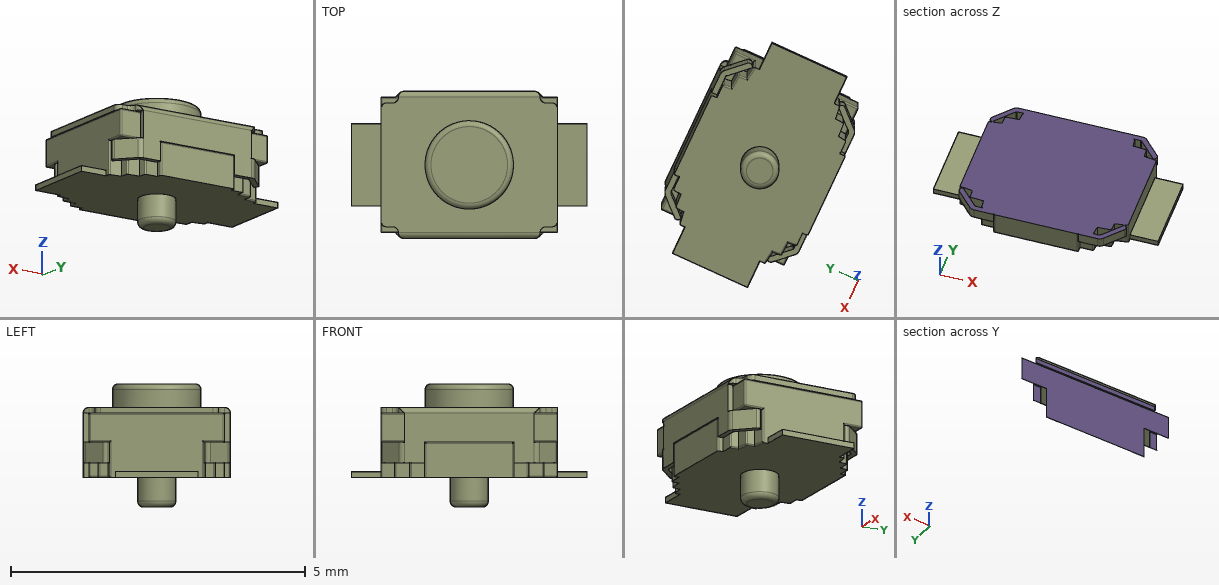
import cadquery as cq
import math

body_length = 3.0
body_width = 2.3
body_height = 1.09
edge_radius = 0.025
half_length = body_length / 2
half_width = body_width / 2

relief_height = 0.6
relief_wall_y = 0.797
relief_inner_y = 0.83
first_step_inner_x = 1.27
first_step_outer_x = 1.26
second_step_outer_y = 0.985
second_step_inner_y = 1.0
second_step_inner_x = 1.016
second_step_outer_x = 1.0

sheet = 0.1
cover_top = body_height + sheet
cover_half_width = half_width + sheet
skirt_bottom = 0.25
skirt_half_length = 1.1
corner_radius = 0.1

arm_angle = 47.0
arm_bend_radius = 0.125
arm_straight = 0.41
arm_tip_radius = 0.06

pad_half_length = 0.755
pad_height = 0.6

tab_span = 4.0
tab_width = 1.4
button_diameter = 1.5
button_top = 1.59
pin_diameter = 0.65
pin_length = 0.5
round_radius = 0.1

position_tolerance = 0.01


def in_all_corners(corner):
    """Repeat a feature of the -X, -Y corner in all four corners."""
    front = corner.union(corner.mirror("YZ"))
    return front.union(front.mirror("XZ"))


def make_relief():
    """Stepped volume removed from the -X, -Y corner."""
    outline = [
        (-half_length, -relief_wall_y),
        (-first_step_inner_x, -relief_inner_y),
        (-first_step_outer_x, -second_step_outer_y),
        (-second_step_inner_x, -second_step_inner_y),
        (-second_step_outer_x, -half_width),
        (-half_length, -half_width),
    ]
    return cq.Workplane("XY").polyline(outline).close().extrude(relief_height)


def near(value, target):
    """True when a coordinate lies at a distance from the centre, on either side."""
    return abs(abs(value) - target) < position_tolerance


def is_relief_corner(edge):
    """Outward upright edges of a relief."""
    center = edge.Center()
    corners = [
        (half_length, relief_wall_y),
        (first_step_outer_x, second_step_outer_y),
        (second_step_outer_x, half_width),
    ]
    at_corner = any(near(center.x, x) and near(center.y, y) for x, y in corners)
    return at_corner and near(center.z, relief_height / 2)


def is_relief_ceiling(edge):
    """Outer edges where a relief ceiling meets the side faces."""
    center = edge.Center()
    on_side = near(center.x, half_length) or near(center.y, half_width)
    return on_side and near(center.z, relief_height)


def is_rounded_base(edge):
    """Bottom edges of the reliefs in the two diagonal corners where X and Y differ in sign."""
    center = edge.Center()
    between_walls_x = second_step_outer_x - edge_radius < abs(center.x) < half_length - edge_radius
    between_walls_y = relief_wall_y < abs(center.y) < half_width - edge_radius
    return center.x * center.y < 0 and between_walls_x and between_walls_y and near(center.z, 0)


def is_rounded_relief_edge(edge):
    return is_relief_corner(edge) or is_relief_ceiling(edge) or is_rounded_base(edge)


def make_body():
    body = cq.Workplane("XY").box(body_length, body_width, body_height, centered=(True, True, False))
    body = body.edges("|Z or >Z").fillet(edge_radius)
    body = body.cut(in_all_corners(make_relief()))
    return body.edges().filter(is_rounded_relief_edge).fillet(edge_radius)


def make_cover_plate():
    """Flat top of the cover, with a rounded notch in each corner."""
    plate = (
        cq.Workplane("XY", origin=(0, 0, body_height))
        .rect(body_length, body_width)
        .extrude(sheet)
    )
    notch_y = half_width - corner_radius
    notch_x = half_length - 3 * corner_radius
    diagonal = corner_radius * math.sqrt(0.5)
    convex_x = -half_length + corner_radius
    convex_y = -notch_y + corner_radius
    concave_x = -notch_x - corner_radius
    notch = (
        cq.Workplane("XY", origin=(0, 0, body_height))
        .moveTo(-half_length, convex_y)
        .threePointArc((convex_x - diagonal, convex_y - diagonal), (convex_x, -notch_y))
        .lineTo(concave_x, -notch_y)
        .threePointArc((concave_x + diagonal, -half_width + diagonal), (-notch_x, -half_width))
        .lineTo(-half_length, -half_width)
        .close()
        .extrude(sheet)
    )
    return plate.cut(in_all_corners(notch))


def make_skirts():
    """Folded sides of the cover, wider along the fold, with windows for the pads."""
    fold_length = 2 * (skirt_half_length + sheet)
    outer_width = 2 * cover_half_width
    fold = (
        cq.Workplane("XY", origin=(0, 0, body_height))
        .rect(fold_length, outer_width)
        .extrude(sheet)
        .edges("|Z")
        .fillet(corner_radius)
    )
    skirts = (
        cq.Workplane("XY", origin=(0, 0, skirt_bottom))
        .rect(2 * skirt_half_length, outer_width)
        .extrude(cover_top - skirt_bottom)
    )
    rounded_profile = (
        cq.Workplane("XY")
        .box(body_length, outer_width, 2 * cover_top)
        .edges("|X")
        .fillet(sheet)
    )
    windows = cq.Workplane("XY").box(2 * pad_half_length, outer_width, 2 * pad_height)
    inside = cq.Workplane("XY").box(body_length, body_width, 2 * body_height)
    return fold.union(skirts).intersect(rounded_profile).cut(windows).cut(inside)


def make_arm():
    """Bent arm in the -X, -Y corner, ending in a rounded tip at the relief wall."""
    angle = math.radians(arm_angle)

    def along(point, direction, distance):
        return (
            point[0] + distance * math.cos(direction),
            point[1] + distance * math.sin(direction),
        )

    heading = math.pi - angle
    inward = heading - math.pi / 2
    bend_center = (-skirt_half_length, -cover_half_width + arm_bend_radius)
    bend_middle = along(bend_center, -math.pi / 2 - angle / 2, arm_bend_radius)
    bend_end = along(bend_center, -math.pi / 2 - angle, arm_bend_radius)
    tip_start = along(bend_end, heading, arm_straight)
    tip_center = along(tip_start, inward, arm_tip_radius)
    tip_middle = along(tip_center, heading + math.pi / 4, arm_tip_radius)
    tip_end = along(tip_center, heading, arm_tip_radius)
    inner_end = along(tip_end, inward, sheet - arm_tip_radius)
    inner_bend = along(bend_center, -math.pi / 2 - angle, arm_bend_radius - sheet)
    return (
        cq.Workplane("XY", origin=(0, 0, skirt_bottom))
        .moveTo(-skirt_half_length, -cover_half_width)
        .threePointArc(bend_middle, bend_end)
        .lineTo(*tip_start)
        .threePointArc(tip_middle, tip_end)
        .lineTo(*inner_end)
        .lineTo(*inner_bend)
        .lineTo(-skirt_half_length, -half_width)
        .close()
        .extrude(relief_height - skirt_bottom)
    )


def make_pads():
    """Pads on both Y sides, with their outer edges rounded except at the base."""
    pad = cq.Workplane("XY").box(2 * pad_half_length, sheet, pad_height, centered=(True, True, False))
    pad = pad.translate((0, -half_width - sheet / 2, 0))
    pad = pad.faces("<Y").edges("not <Z").fillet(edge_radius)
    return pad.union(pad.mirror("XZ"))


def make_tabs():
    return cq.Workplane("XY").box(tab_span, tab_width, sheet, centered=(True, True, False))


def make_button():
    button = cq.Workplane("XY", origin=(0, 0, body_height)).circle(button_diameter / 2)
    return button.extrude(button_top - body_height).faces(">Z").edges().fillet(round_radius)


def make_pin():
    pin = cq.Workplane("XY").circle(pin_diameter / 2).extrude(-pin_length)
    return pin.faces("<Z").edges().fillet(round_radius)


result = (
    make_body()
    .union(make_cover_plate())
    .union(make_skirts())
    .union(in_all_corners(make_arm()))
    .union(make_pads())
    .union(make_tabs())
    .union(make_button())
    .union(make_pin())
)